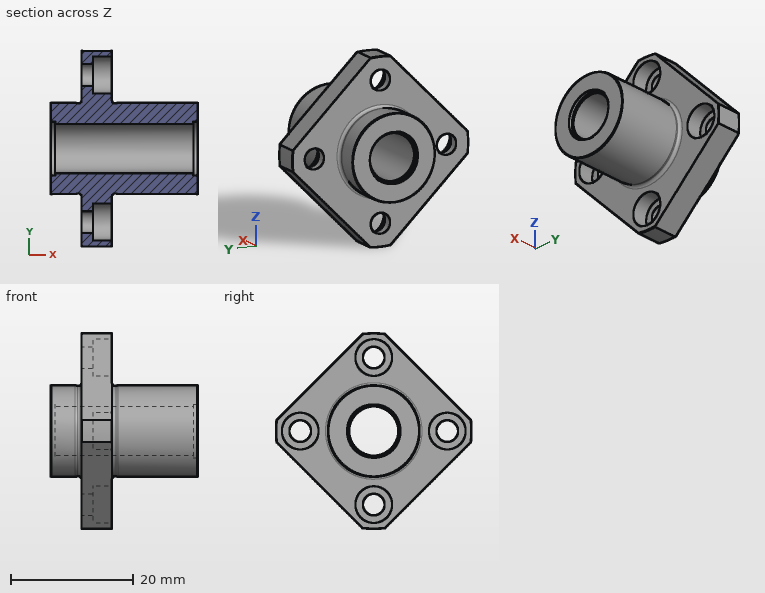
import cadquery as cq
import math

total_length = 24.0
length_before_center = total_length / 2
body_diameter = 15.0
end_chamfer = 0.1

flange_start = 5.0
flange_thickness = 5.0
flange_square = 25.0
flange_tilt = 45
flange_corner_diameter = 32.0
flange_corner_chamfer = 0.1

undercut_length = 1.0
undercut_slope = math.radians(15)
undercut_radius = 0.5

bore_diameter = 8.0
bore_end_diameter = 8.75
bore_end_depth = 0.7

bolt_circle_diameter = 24.0
hole_diameter = 3.5
counterbore_diameter = 6.0
counterbore_depth = 3.1
hole_count = 4

full_turn = 360
front_x = -length_before_center
back_x = front_x + total_length
flange_front_x = front_x + flange_start
flange_back_x = flange_front_x + flange_thickness
body_radius = body_diameter / 2


def x_cylinder(diameter, start_x, length):
    """Cylinder on the X axis."""
    return cq.Workplane("YZ", origin=(start_x, 0, 0)).circle(diameter / 2).extrude(length)


def make_body_end(end_x, root_x):
    """Plain body from a chamfered end to the entry of the undercut."""
    body = x_cylinder(body_diameter, end_x, root_x - end_x)
    return body.faces("<X" if root_x > end_x else ">X").chamfer(end_chamfer)


def make_flange():
    plate = (
        cq.Workplane("YZ", origin=(flange_front_x, 0, 0))
        .transformed(rotate=(0, 0, flange_tilt))
        .rect(flange_square, flange_square)
        .extrude(flange_thickness)
    )
    turned_disc = x_cylinder(flange_corner_diameter, flange_front_x, flange_thickness)
    return plate.intersect(turned_disc.faces("<X or >X").chamfer(flange_corner_chamfer))


def make_root(face_x, outward):
    """Ring replacing the body beside a flange face: a slope running tangent into a round root."""
    center_x = face_x + outward * undercut_radius
    slope_end_x = center_x + outward * undercut_radius * math.sin(undercut_slope)
    entry_x = face_x + outward * undercut_length
    slope_end_radius = body_radius - abs(entry_x - slope_end_x) * math.tan(undercut_slope)
    center_radius = slope_end_radius + undercut_radius * math.cos(undercut_slope)
    profile = (
        cq.Workplane("XY")
        .moveTo(face_x, 0)
        .lineTo(entry_x, 0)
        .lineTo(entry_x, body_radius)
        .lineTo(slope_end_x, slope_end_radius)
        .threePointArc((center_x, center_radius - undercut_radius), (face_x, center_radius))
        .close()
    )
    return profile.revolve(full_turn, (0, 0, 0), (1, 0, 0))


def make_bore():
    bore = x_cylinder(bore_diameter, front_x, total_length)
    front_recess = x_cylinder(bore_end_diameter, front_x, bore_end_depth)
    back_recess = x_cylinder(bore_end_diameter, back_x, -bore_end_depth)
    return bore.union(front_recess).union(back_recess)


def make_screw_hole():
    hole = x_cylinder(hole_diameter, flange_front_x, flange_thickness)
    counterbore = x_cylinder(counterbore_diameter, flange_back_x, -counterbore_depth)
    return hole.union(counterbore).translate((0, 0, bolt_circle_diameter / 2))


result = make_flange()
for face_x, end_x, outward in ((flange_front_x, front_x, -1), (flange_back_x, back_x, 1)):
    result = result.union(make_root(face_x, outward))
    result = result.union(make_body_end(end_x, face_x + outward * undercut_length))
result = result.cut(make_bore())
for index in range(hole_count):
    angle = index * full_turn / hole_count
    result = result.cut(make_screw_hole().rotate((0, 0, 0), (1, 0, 0), angle))